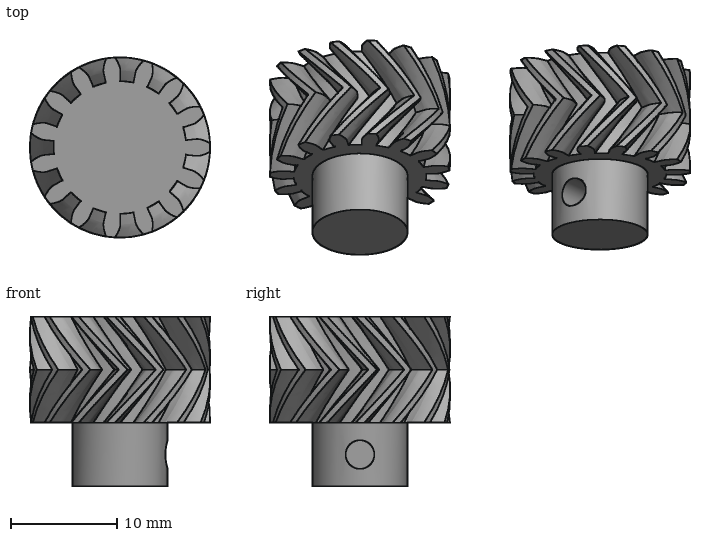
import cadquery as cq
import math

outer_diameter = 17.0
tooth_count = 15
gear_height = 10.0
hub_diameter = 9.0
hub_height = 6.0
set_screw_diameter = 2.7
pressure_angle = math.radians(14.5)
helix_angle = math.radians(40)
dedendum_in_modules = 1.25
flank_steps = 4

module = outer_diameter / (tooth_count + 2)
pitch_radius = module * tooth_count / 2
tip_radius = outer_diameter / 2
root_radius = pitch_radius - dedendum_in_modules * module
base_radius = pitch_radius * math.cos(pressure_angle)
tooth_pitch = 2 * math.pi / tooth_count
base_half_angle = tooth_pitch / 4 + math.tan(pressure_angle) - pressure_angle
half_height = gear_height / 2
half_twist = math.degrees(half_height * math.tan(helix_angle) / pitch_radius)


def polar(radius, angle):
    return (radius * math.cos(angle), radius * math.sin(angle))


def involute_flank(center_angle, side):
    """Points from the base circle to the tip; side is -1 or +1 from the tooth's centre line."""
    roll_at_tip = math.sqrt((tip_radius / base_radius) ** 2 - 1)
    points = []
    for step in range(flank_steps + 1):
        roll = roll_at_tip * step / flank_steps
        radius = base_radius * math.hypot(1, roll)
        inset = roll - math.atan(roll)
        points.append(polar(radius, center_angle + side * (base_half_angle - inset)))
    return points


def gear_outline():
    """Closed tooth profile: radial flanks below the base circle, involutes above it."""
    outline = cq.Workplane("XY").moveTo(*polar(root_radius, -base_half_angle))
    for index in range(tooth_count):
        center = index * tooth_pitch
        rising = involute_flank(center, -1)
        falling = involute_flank(center, 1)[::-1]
        gap_middle = polar(root_radius, center + tooth_pitch / 2)
        gap_end = polar(root_radius, center + tooth_pitch - base_half_angle)
        outline = (
            outline.lineTo(*rising[0])
            .spline(rising[1:], includeCurrent=True)
            .threePointArc(polar(tip_radius, center), falling[0])
            .spline(falling[1:], includeCurrent=True)
            .lineTo(*polar(root_radius, center + base_half_angle))
            .threePointArc(gap_middle, gap_end)
        )
    return outline.close()


def herringbone_gear():
    """One helical half on Z = 0, mirrored about the middle plane of the gear."""
    lower_half = gear_outline().twistExtrude(half_height, half_twist)
    upper_half = lower_half.mirror("XY", (0, 0, half_height))
    return lower_half.union(upper_half)


def hub():
    """Plain cylinder below the gear."""
    return cq.Workplane("XY").circle(hub_diameter / 2).extrude(-hub_height)


def set_screw_hole():
    """Radial hole at mid-height of the hub, from the +X side to the axis."""
    return (
        cq.Workplane("YZ", origin=(0, 0, -hub_height / 2))
        .circle(set_screw_diameter / 2)
        .extrude(hub_diameter / 2)
    )


result = herringbone_gear().union(hub()).cut(set_screw_hole())